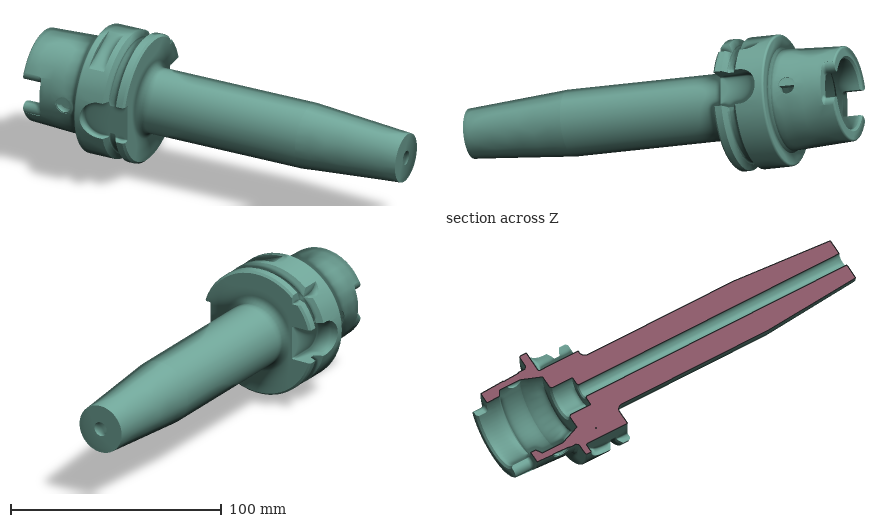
import cadquery as cq
import math


taper_length = 32.0
taper_gauge_offset = 6.3
taper_gauge_radius = 48.0 / 2
taper_slope = 0.05
taper_end_fillet = 1.0
neck_radius = 48.24 / 2
neck_length = 2.0
neck_cylinder_length = 0.9
root_radius = 25.2

flange_length = 26.0
flange_radius = 63.0 / 2
flange_edge_fillet = 1.0
flange_edge_chamfer = 1.0
groove_center = 18.13
groove_mouth = 7.0
groove_bottom_width = 3.6
groove_radius = 55.0 / 2
groove_corner_fillet = 0.9
groove_flank_angle = math.radians(30)

nose_end = 160.0
shank_radius = 32.0 / 2
shank_root_fillet = 3.0
nose_radius = 24.0 / 2
nose_angle = math.radians(4.5)

mouth_chamfer = 1.0
mouth_radius = 34.0 / 2
mouth_depth = 13.0
shoulder_angle = math.radians(60)
cavity_radius = 40.0 / 2
cavity_floor_radius = 32.0 / 2
cavity_floor = 4.0
cavity_cone_length = 10.0
thread_radius = 17.0 / 2
thread_chamfer = 1.0
thread_depth = 12.0
coolant_radius = 7.0 / 2
coolant_chamfer = 0.7

taper_slot_width = 12.54
front_slot_depth = 10.0
back_slot_depth = 6.0
slot_edge_round = 3.0
slot_floor_fillet = 1.5

cross_hole_x = -9.0
cross_hole_radius = 7.5 / 2
cross_hole_mouth_radius = 8.4 / 2
cross_hole_mouth_depth = 0.3

keyway_center_x = 12.7
front_keyway_width = 19.0
front_keyway_floor = 26.5
back_keyway_width = 17.0
back_keyway_floor = 20.0
keyway_floor_fillet = 0.6
notch_offset = 20.0
notch_runout_x = 12.3
notch_cutter_radius = 14.0 / 2
chip_flat_start = 3.6
chip_flat_width = 8.0
chip_flat_angle = 22.5
chip_flat_radius = flange_radius * math.cos(math.radians(chip_flat_angle))

overcut = 5.0
ring_tolerance = 0.05


def taper_radius(x):
    return taper_gauge_radius + taper_slope * (x + taper_gauge_offset)


def ring_edge(x, radius):
    """Selector for the circular edge of the given radius about X at position x."""
    low = radius - ring_tolerance
    high = radius + ring_tolerance
    x_low = x - ring_tolerance
    x_high = x + ring_tolerance
    up_to_ring = cq.selectors.BoxSelector((x_low, -high, -high), (x_high, high, high), boundingbox=True)
    within_ring = cq.selectors.BoxSelector((x_low, -low, -low), (x_high, low, low), boundingbox=True)
    return up_to_ring - within_ring


def make_body():
    """Outside of the holder, revolved about X."""
    flank_depth = (groove_mouth - groove_bottom_width) / 2 / math.tan(groove_flank_angle)
    flank_bottom = flange_radius - flank_depth
    mouth_half = groove_mouth / 2
    bottom_half = groove_bottom_width / 2
    nose_start = nose_end - (shank_radius - nose_radius) / math.tan(nose_angle)
    profile = (
        cq.Workplane("XY")
        .moveTo(-taper_length, 0)
        .lineTo(-taper_length, taper_radius(-taper_length))
        .lineTo(-neck_length, taper_radius(-neck_length))
        .lineTo(-neck_length, neck_radius)
        .lineTo(-neck_length + neck_cylinder_length, neck_radius)
        .lineTo(0, root_radius)
        .lineTo(0, flange_radius)
        .lineTo(groove_center - mouth_half, flange_radius)
        .lineTo(groove_center - bottom_half, flank_bottom)
        .lineTo(groove_center - bottom_half, groove_radius)
        .lineTo(groove_center + bottom_half, groove_radius)
        .lineTo(groove_center + bottom_half, flank_bottom)
        .lineTo(groove_center + mouth_half, flange_radius)
        .lineTo(flange_length, flange_radius)
        .lineTo(flange_length, shank_radius)
        .lineTo(nose_start, shank_radius)
        .lineTo(nose_end, nose_radius)
        .lineTo(nose_end, 0)
        .close()
    )
    body = profile.revolve(360, (0, 0, 0), (1, 0, 0))
    body = body.edges(ring_edge(-taper_length, taper_radius(-taper_length))).fillet(taper_end_fillet)
    body = body.edges(ring_edge(0, flange_radius)).fillet(flange_edge_fillet)
    body = body.edges(ring_edge(flange_length, flange_radius)).chamfer(flange_edge_chamfer)
    body = body.edges(ring_edge(flange_length, shank_radius)).fillet(shank_root_fillet)
    for side in (-bottom_half, bottom_half):
        body = body.edges(ring_edge(groove_center + side, groove_radius)).fillet(groove_corner_fillet)
    return body


def make_bore():
    """Clamping cavity, thread pocket and coolant hole, revolved about X."""
    mouth_end = mouth_depth - taper_length
    shoulder_end = mouth_end + (cavity_radius - mouth_radius) / math.tan(shoulder_angle)
    thread_end = cavity_floor + thread_depth
    return (
        cq.Workplane("XY")
        .moveTo(-taper_length, 0)
        .lineTo(-taper_length, mouth_radius + mouth_chamfer)
        .lineTo(-taper_length + mouth_chamfer, mouth_radius)
        .lineTo(mouth_end, mouth_radius)
        .lineTo(shoulder_end, cavity_radius)
        .lineTo(cavity_floor - cavity_cone_length, cavity_radius)
        .lineTo(cavity_floor, cavity_floor_radius)
        .lineTo(cavity_floor, thread_radius + thread_chamfer)
        .lineTo(cavity_floor + thread_chamfer, thread_radius)
        .lineTo(thread_end, thread_radius)
        .lineTo(thread_end, coolant_radius + coolant_chamfer)
        .lineTo(thread_end + coolant_chamfer, coolant_radius)
        .lineTo(nose_end, coolant_radius)
        .lineTo(nose_end, 0)
        .close()
        .revolve(360, (0, 0, 0), (1, 0, 0))
    )


def make_taper_slot(side, depth):
    """Driving slot on one side (-1 or 1 along Y), flaring out to the taper surface."""
    half = taper_slot_width / 2
    surface = taper_radius(-taper_length)
    round_center_y = math.sqrt((surface - slot_edge_round) ** 2 - (half + slot_edge_round) ** 2)
    tangent_scale = surface / (surface - slot_edge_round)
    flare_y = round_center_y * tangent_scale
    flare_z = (half + slot_edge_round) * tangent_scale
    arc_angle = (math.pi + math.atan2(round_center_y, half + slot_edge_round)) / 2
    mid_y = round_center_y + slot_edge_round * math.sin(arc_angle)
    mid_z = half + slot_edge_round + slot_edge_round * math.cos(arc_angle)
    outer_y = surface + overcut
    slot = (
        cq.Workplane("YZ", origin=(-taper_length - overcut, 0, 0))
        .moveTo(0, -half)
        .lineTo(side * round_center_y, -half)
        .threePointArc((side * mid_y, -mid_z), (side * flare_y, -flare_z))
        .lineTo(side * outer_y, -flare_z)
        .lineTo(side * outer_y, flare_z)
        .lineTo(side * flare_y, flare_z)
        .threePointArc((side * mid_y, mid_z), (side * round_center_y, half))
        .lineTo(0, half)
        .close()
        .extrude(depth + overcut)
    )
    return slot.faces(">X").edges().fillet(slot_floor_fillet)


def make_cross_hole():
    """Cross hole open below its mid-plane, with a shallow round recess at each mouth."""
    reach = taper_gauge_radius + overcut
    near_x = cross_hole_x - cross_hole_mouth_radius - overcut
    far_x = cross_hole_x + cross_hole_mouth_radius + overcut
    recess_floor = (
        cq.Workplane("XY")
        .moveTo(near_x, 0)
        .lineTo(near_x, taper_radius(near_x) - cross_hole_mouth_depth)
        .lineTo(far_x, taper_radius(far_x) - cross_hole_mouth_depth)
        .lineTo(far_x, 0)
        .close()
        .revolve(360, (0, 0, 0), (1, 0, 0))
    )
    axis_plane = cq.Workplane("XZ", origin=(cross_hole_x, 0, 0))
    recesses = axis_plane.circle(cross_hole_mouth_radius).extrude(reach, both=True).cut(recess_floor)
    half_hole = (
        axis_plane.moveTo(-cross_hole_radius, 0)
        .threePointArc((0, -cross_hole_radius), (cross_hole_radius, 0))
        .close()
        .extrude(reach, both=True)
    )
    return recesses.union(half_hole)


def make_keyway(side, width, floor):
    """Round-ended keyway in the flange rim, open towards the shank."""
    half = width / 2
    end_x = flange_length + overcut
    keyway = (
        cq.Workplane("XZ")
        .moveTo(end_x, -half)
        .lineTo(keyway_center_x, -half)
        .threePointArc((keyway_center_x - half, 0), (keyway_center_x, half))
        .lineTo(end_x, half)
        .close()
        .extrude(-side * flange_radius)
        .translate((0, side * floor, 0))
    )
    inner_face = keyway.faces("<Y" if side > 0 else ">Y")
    return inner_face.edges().fillet(keyway_floor_fillet)


def make_orientation_notch():
    """Corner notch in the +Y +Z quarter of the flange, with a round run-out."""
    reach = flange_radius + overcut
    start_x = notch_runout_x - notch_cutter_radius
    return (
        cq.Workplane("XZ")
        .moveTo(flange_length + overcut, notch_offset)
        .lineTo(notch_runout_x, notch_offset)
        .radiusArc((start_x, notch_offset + notch_cutter_radius), notch_cutter_radius)
        .lineTo(start_x, reach)
        .lineTo(flange_length + overcut, reach)
        .close()
        .extrude(-flange_radius)
        .translate((0, notch_offset, 0))
    )


def make_chip_flat():
    """Flat on the flange rim, tilted from +Z towards -Y."""
    size = 2 * flange_radius
    block = cq.Workplane("XY").box(chip_flat_width, size, size, centered=(False, True, False))
    block = block.translate((chip_flat_start, 0, chip_flat_radius))
    return block.rotate((0, 0, 0), (1, 0, 0), chip_flat_angle)


result = make_body().cut(make_bore())
result = result.cut(make_taper_slot(-1, front_slot_depth))
result = result.cut(make_taper_slot(1, back_slot_depth))
result = result.cut(make_cross_hole())
result = result.cut(make_keyway(-1, front_keyway_width, front_keyway_floor))
result = result.cut(make_keyway(1, back_keyway_width, back_keyway_floor))
result = result.cut(make_orientation_notch())
result = result.cut(make_chip_flat())